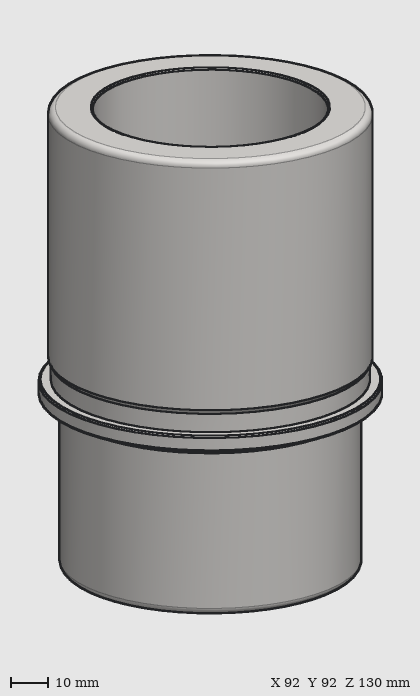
import cadquery as cq
import math

total_length = 130.0
bore_radius = 31.5
bore_chamfer = 0.5

spigot_radius = 40.5
spigot_end_fillet = 2.0

undercut_radius = 2.0
undercut_depth = 0.85
undercut_center_z = 47.65

collar_radius = 46.0
collar_bottom_z = 48.3
collar_top_z = 52.8
collar_chamfer = 0.5

groove_radius = 42.75
body_radius = 43.5
body_bottom_z = 59.3
body_bottom_taper_height = 1.3
body_end_fillet = 2.0

smallest_circles = cq.selectors.RadiusNthSelector(0)
largest_circles = cq.selectors.RadiusNthSelector(-1)


def turned_blank():
    """Solid of revolution from the stepped half profile, without edge breaks."""
    groove_top_z = body_bottom_z - body_bottom_taper_height
    undercut_floor = spigot_radius - undercut_depth
    undercut_center = undercut_floor + undercut_radius
    rise_to_collar = collar_bottom_z - undercut_center_z
    drop_to_spigot = math.sqrt(undercut_radius**2 - (undercut_radius - undercut_depth) ** 2)
    undercut_start_z = undercut_center_z - drop_to_spigot
    undercut_end = undercut_center - math.sqrt(undercut_radius**2 - rise_to_collar**2)
    half_profile = (
        cq.Workplane("XZ")
        .moveTo(bore_radius, 0)
        .lineTo(spigot_radius, 0)
        .lineTo(spigot_radius, undercut_start_z)
        .threePointArc((undercut_floor, undercut_center_z), (undercut_end, collar_bottom_z))
        .lineTo(collar_radius, collar_bottom_z)
        .lineTo(collar_radius, collar_top_z)
        .lineTo(groove_radius, collar_top_z)
        .lineTo(groove_radius, groove_top_z)
        .lineTo(body_radius, body_bottom_z)
        .lineTo(body_radius, total_length)
        .lineTo(bore_radius, total_length)
        .close()
    )
    return half_profile.revolve(360, (0, 0, 0), (0, 1, 0))


def chamfer_bore_mouths(sleeve):
    """Chamfer the bore at both ends of the sleeve."""
    return sleeve.faces("<Z or >Z").edges(smallest_circles).chamfer(bore_chamfer)


def break_outer_edges(sleeve):
    """Chamfer both rims of the collar, then round the outer edge at each end of the sleeve."""
    finished = sleeve.edges(largest_circles).chamfer(collar_chamfer)
    finished = finished.faces(">Z").edges(largest_circles).fillet(body_end_fillet)
    return finished.faces("<Z").edges(largest_circles).fillet(spigot_end_fillet)


result = break_outer_edges(chamfer_bore_mouths(turned_blank()))